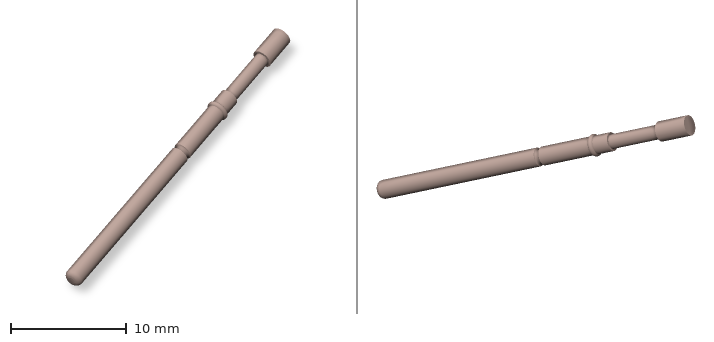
import cadquery as cq

length = 32.0
tip_y = length / 2
tail_y = -length / 2

head_diameter = 1.8
head_length = 3.0
stem_diameter = 1.28
stem_length = 5.0

barrel_diameter = 1.65
tail_radius = 0.48

ring_diameter = 2.0
ring_width = 0.5
ring_distance = 1.75

groove_width = 0.48
groove_depth = 0.2
groove_distance = 7.33

stem_end_y = tip_y - head_length
mouth_y = stem_end_y - stem_length
ring_y = mouth_y - ring_distance
groove_y = mouth_y - groove_distance


def cylinder(diameter, start_y, end_y):
    """Solid cylinder on the Y axis, running from start_y towards -Y to end_y."""
    return (
        cq.Workplane("XZ", origin=(0, start_y, 0))
        .circle(diameter / 2)
        .extrude(start_y - end_y)
    )


def revolve_profile(profile):
    """Turn a closed half profile, drawn in XY, about the Y axis."""
    return profile.close().revolve(360, (0, 0, 0), (0, 1, 0))


def stop_ring():
    rim_radius = ring_width / 2
    rim_centre = ring_diameter / 2 - rim_radius
    profile = (
        cq.Workplane("XY")
        .moveTo(0, ring_y - rim_radius)
        .lineTo(rim_centre, ring_y - rim_radius)
        .threePointArc((ring_diameter / 2, ring_y), (rim_centre, ring_y + rim_radius))
        .lineTo(0, ring_y + rim_radius)
    )
    return revolve_profile(profile)


def crimp_groove():
    surface = barrel_diameter / 2
    half_width = groove_width / 2
    profile = (
        cq.Workplane("XY")
        .moveTo(surface, groove_y - half_width)
        .threePointArc((surface - groove_depth, groove_y), (surface, groove_y + half_width))
    )
    return revolve_profile(profile)


head = cylinder(head_diameter, tip_y, stem_end_y)
stem = cylinder(stem_diameter, stem_end_y, mouth_y)
barrel = cylinder(barrel_diameter, mouth_y, tail_y).faces("<Y").edges().fillet(tail_radius)

result = head.union(stem).union(barrel).union(stop_ring()).cut(crimp_groove())